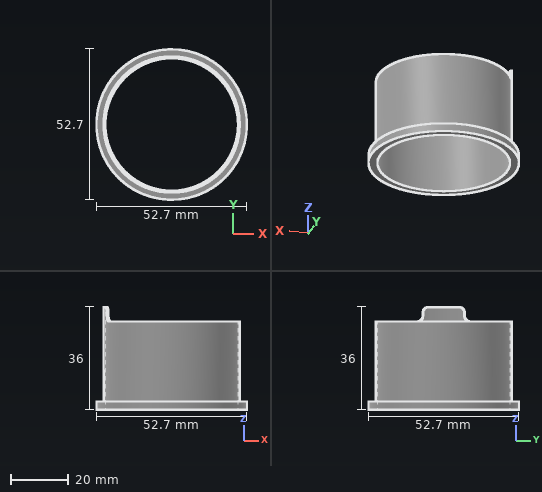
import cadquery as cq
import math

bore_diameter = 46.36
sleeve_diameter = 47.74
flange_diameter = 52.74
flange_thickness = 3.0
sleeve_top = 31.0
tab_top = 36.0
tab_angle = 36.0
tab_fillet_radius = 2.0


def ring(outer_diameter, height):
    """Plain ring standing on the XY plane, with the common bore."""
    return cq.Workplane("XY").circle(outer_diameter / 2).circle(bore_diameter / 2).extrude(height)


def tab_sector():
    """Wedge from the axis toward -X that spans the tab angle, with radial sides."""
    reach = sleeve_diameter
    half_width = reach * math.tan(math.radians(tab_angle / 2))
    corners = [(0, 0), (-reach, half_width), (-reach, -half_width)]
    return cq.Workplane("XY").polyline(corners).close().extrude(tab_top)


def radial_edges_at(body, height):
    """Straight edges across the wall at the two tab sides, at the given height."""
    half_angle = math.radians(tab_angle / 2)
    wall_radius = (sleeve_diameter + bore_diameter) / 4
    x = -wall_radius * math.cos(half_angle)
    y = wall_radius * math.sin(half_angle)
    near_side = body.edges(cq.NearestToPointSelector((x, -y, height)))
    far_side = body.edges(cq.NearestToPointSelector((x, y, height)))
    return near_side.add(far_side)


def sleeve_with_tab():
    """Thin sleeve with one raised tab, rounded at its top corners and at its roots."""
    tab = ring(sleeve_diameter, tab_top).intersect(tab_sector())
    body = ring(sleeve_diameter, sleeve_top).union(tab).clean()
    for height in (tab_top, sleeve_top):
        body = radial_edges_at(body, height).fillet(tab_fillet_radius)
    return body


flange = ring(flange_diameter, flange_thickness)

result = flange.union(sleeve_with_tab()).clean()